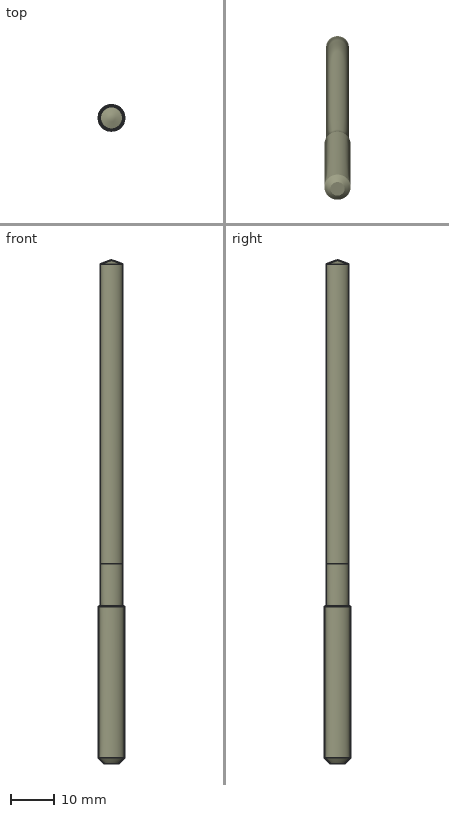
import cadquery as cq
import math

TOTAL_LENGTH = 116.0
SHANK_DIAMETER = 6.0
SHANK_LENGTH = 36.2
SHANK_CHAMFER_WIDTH = 1.4
SHANK_CHAMFER_HEIGHT = 1.4
DRILL_DIAMETER = 5.2
CUTTING_START = 46.0
POINT_ANGLE = 140.0
SHOULDER_ANGLE = 120.0

shank_radius = SHANK_DIAMETER / 2
drill_radius = DRILL_DIAMETER / 2
shank_end_radius = shank_radius - SHANK_CHAMFER_WIDTH
point_height = drill_radius / math.tan(math.radians(POINT_ANGLE / 2))
shoulder_height = (shank_radius - drill_radius) / math.tan(math.radians(SHOULDER_ANGLE / 2))


def revolve_profile(points):
    """Turn a closed (radius, height) outline around the Z axis."""
    return cq.Workplane("XZ").polyline(points).close().revolve(360, (0, 0), (0, 1))


def make_shank():
    """Chamfered shank with a conical shoulder leading into the neck."""
    return revolve_profile([
        (0, 0),
        (shank_end_radius, 0),
        (shank_radius, SHANK_CHAMFER_HEIGHT),
        (shank_radius, SHANK_LENGTH),
        (drill_radius, SHANK_LENGTH + shoulder_height),
        (drill_radius, CUTTING_START),
        (0, CUTTING_START),
    ])


def make_cutting_section():
    """Plain cylindrical cutting section ending in a conical point."""
    return revolve_profile([
        (0, CUTTING_START),
        (drill_radius, CUTTING_START),
        (drill_radius, TOTAL_LENGTH - point_height),
        (0, TOTAL_LENGTH),
    ])


shank = make_shank()
cutting_section = make_cutting_section()
result = cq.Compound.makeCompound([shank.val(), cutting_section.val()])